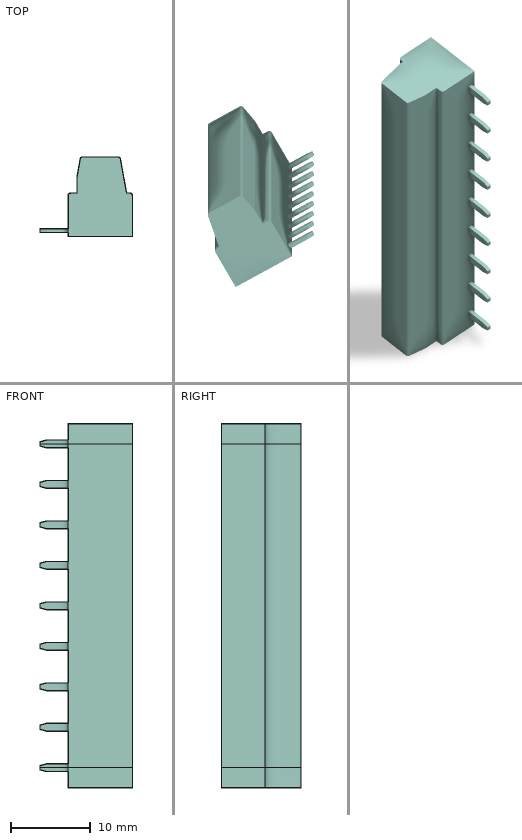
import cadquery as cq


TOTAL_LENGTH = 45.7
PIN_COUNT = 9
PITCH = TOTAL_LENGTH / PIN_COUNT
END_LENGTH = PITCH / 2
MIDDLE_LENGTH = TOTAL_LENGTH - 2 * END_LENGTH

BODY_WIDTH = 8.1
BODY_DEPTH = 10.0
SHOULDER_Y = 5.5
LEFT_SHOULDER = 1.1
RIGHT_SHOULDER = 0.75
TAPER_START_Y = 7.4
LEFT_TAPER = 0.45
RIGHT_TAPER = 0.82
EDGE_RADIUS = 0.3

PIN_LENGTH = 3.5
PIN_HEIGHT = 1.0
PIN_THICKNESS = 0.5
PIN_Y = 0.5
TIP_LENGTH = 0.82
TIP_HEIGHT = 0.55


def pin_z(index):
    """Height of the middle of a pin, counted from the bottom."""
    return END_LENGTH + index * PITCH


def housing_block(bottom, length):
    """Stepped and tapered housing profile, extruded along Z."""
    right_foot = BODY_WIDTH - RIGHT_SHOULDER
    outline = [
        (0, 0),
        (BODY_WIDTH, 0),
        (BODY_WIDTH, SHOULDER_Y),
        (right_foot, SHOULDER_Y),
        (right_foot - RIGHT_TAPER, BODY_DEPTH),
        (LEFT_SHOULDER + LEFT_TAPER, BODY_DEPTH),
        (LEFT_SHOULDER, TAPER_START_Y),
        (LEFT_SHOULDER, SHOULDER_Y),
        (0, SHOULDER_Y),
    ]
    rounded_corners = [outline[i] for i in (2, 4, 5, 8)]
    block = cq.Workplane("XY", origin=(0, 0, bottom)).polyline(outline).close().extrude(length)
    middle = bottom + length / 2
    for x, y in rounded_corners:
        edge = cq.selectors.NearestToPointSelector((x, y, middle))
        block = block.edges("|Z").edges(edge).fillet(EDGE_RADIUS)
    return block


def half_pin(index, side):
    """Upper (side = 1) or lower (side = -1) half of a pin with a tapered tip."""
    outline = [
        (0, 0),
        (0, side * PIN_HEIGHT / 2),
        (TIP_LENGTH - PIN_LENGTH, side * PIN_HEIGHT / 2),
        (-PIN_LENGTH, side * TIP_HEIGHT / 2),
        (-PIN_LENGTH, 0),
    ]
    plane = cq.Workplane("XZ", origin=(0, PIN_Y, pin_z(index)))
    return plane.polyline(outline).close().extrude(-PIN_THICKNESS)


def make_end_section(bottom, pin_index, pin_side):
    """Short end of the header with the outer half of its end pin."""
    return housing_block(bottom, END_LENGTH).union(half_pin(pin_index, pin_side))


def make_middle_section():
    """Long centre of the header: whole pins inside, half pins at both ends."""
    section = housing_block(END_LENGTH, MIDDLE_LENGTH)
    for index in range(PIN_COUNT - 1):
        section = section.union(half_pin(index, 1))
        section = section.union(half_pin(index + 1, -1))
    return section.clean()


LAST_PIN = PIN_COUNT - 1
bottom_section = make_end_section(0, 0, -1)
middle_section = make_middle_section()
top_section = make_end_section(TOTAL_LENGTH - END_LENGTH, LAST_PIN, 1)

result = cq.Compound.makeCompound(
    [bottom_section.val(), middle_section.val(), top_section.val()]
)